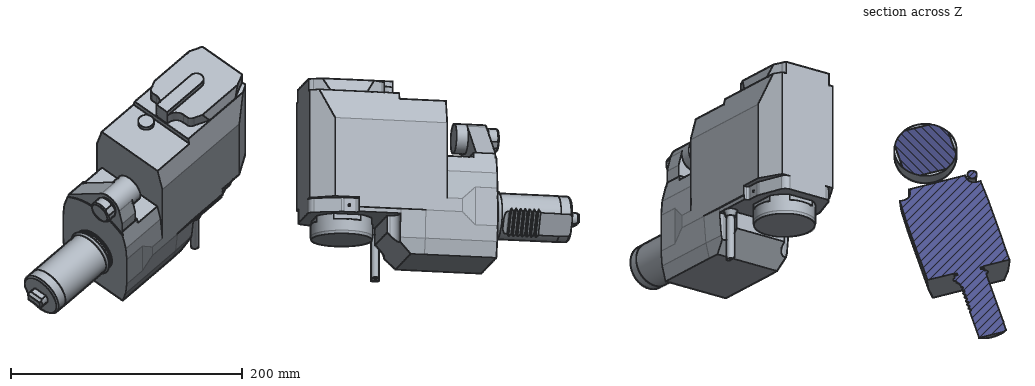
import cadquery as cq
import math


HEAD_HALF_WIDTH = 38.0
HEAD_FRONT_Y = 44.5
HEAD_BACK_Y = 163.5
HEAD_BOTTOM_Z = -9.7
HEAD_SHOULDER_Z = 72.0
HEAD_TOP_Z = 97.8
HEAD_LEAN = math.tan(math.radians(15))
STEP_TOP_Z = 92.5
STEP_Y = 85.5
BACK_HALF_WIDTH = 26.9
BACK_CHAMFER_Y = 143.5
SPINDLE_Y = 129.7

RIM_TOP_Z = 2.7
RIM_HALF_WIDTH = 33.2
RIM_FRONT_Y = 122.0
RIM_FLAT_END_Y = 136.0
RIM_CORNER_X = 23.7
RIM_ROUND = 6.3
RIM_FOOT_RADIUS = 2.2
RIM_HOLE_DIAMETER = 1.7
RIM_HOLE_DEPTH = 2.5
RIM_HOLE_Z = -3.6

BASE_TOP_Z = 44.0
BASE_MIDDLE_Z = 30.2
BASE_WAIST_Z = 5.8
BASE_TOP_HALF_WIDTH = 32.2
BASE_MIDDLE_HALF_WIDTH = 35.8
FLANGE_HALF_WIDTH = 37.0
FLANGE_BACK_Y = 19.8
FLANGE_TOP_Z = 48.2
FLANGE_TOP_HALF_WIDTH = BASE_TOP_HALF_WIDTH - (FLANGE_TOP_Z - BASE_TOP_Z) * (
    (BASE_MIDDLE_HALF_WIDTH - BASE_TOP_HALF_WIDTH) / (BASE_TOP_Z - BASE_MIDDLE_Z)
)
FLANGE_BLEND_Y = 31.5
FACE_PLATE_THICKNESS = 0.7
FACE_ARC_TOP_Z = 55.2
BASE_TAPER_Y = 63.6
BASE_TAPER = 0.7
TAIL_Y = 94.9
TAIL_HALF_WIDTH = 25.5
TAIL_FILLET = 7.3
TAIL_CUT_SIZE = 19.4

LUG_BACK_Y = 17.7
LOCATOR_X = 14.8
LOCATOR_Z = 70.2
BOSS_DIAMETER = 26.0
BOSS_BACK_Y = 27.8
PIN_DIAMETER = 20.0
PIN_LENGTH = 10.5
PIN_CHAMFER = 1.2
PIN_ACROSS_FLATS = 19.0
PIN_FLAT_ANGLE = 36
LUG_KNEE_X = 31.0
LUG_KNEE_Z = 59.3

SHANK_DIAMETER = 40.0
SHANK_LENGTH = 70.0
SHANK_TIP_DIAMETER = 39.7
SHANK_TIP_LENGTH = 10.2
SHANK_CHAMFER = 1.5
NECK_GROOVE_DIAMETER = 36.0
NECK_GROOVE_START = 0.5
NECK_GROOVE_WIDTH = 1.7
SEAL_DIAMETER = 43.0
SEAL_START = 4.4
SEAL_WIDTH = 3.5
RACK_FLAT_DISTANCE = 17.2
RACK_ANGLE = 30
RACK_FLAT_START = 13.0
RACK_RUNOUT_RADIUS = 4.0
TOOTH_COUNT = 7
TOOTH_ROW_LENGTH = 24.0
TOOTH_PITCH = TOOTH_ROW_LENGTH / (TOOTH_COUNT - 1)
TOOTH_DEPTH = 1.7
FIRST_TOOTH = 16.0
TANG_LENGTH = 8.5
TANG_WIDTH = 17.0
TANG_THICKNESS = 9.7
TANG_SIDE_BULGE = 2.2
TANG_END_CHAMFER = 1.7
TANG_BEVEL_LENGTH = 3.1

COVER_TOP_Z = 108.5
COVER_INSET = 0.2
COVER_END_HALF_WIDTH = 23.0
COVER_BACK_ROUND_MIDDLE = (24.0, 32.2)
COVER_SHOULDER_X = 24.7
COVER_SHOULDER_DY = 30.0
COVER_SIDE_SLOPE = 2.2
COVER_FRONT_DY = 33.5
COVER_SCOOP_RADIUS = 9.5
COVER_FRONT_END_X = 20.8
COVER_FRONT_ROUND_MIDDLE = (23.2, -32.2)
KEY_WIDTH = 12.5
KEY_FRONT_Y = 86.0
KEY_BACK_Y = 136.5
KEY_TOP_Z = 113.5
BUTTON_DIAMETER = 13.8
BUTTON_HEIGHT = 3.6
BUTTON_X = -10.2
BUTTON_Y = 77.0

PIPE_DIAMETER = 7.0
PIPE_X = 31.2
PIPE_Y = 93.7
PIPE_BOTTOM_Z = -55.0
PIPE_TIP_CUT = 3.0
PIPE_OUTLET_DIAMETER = 2.1
PIPE_OUTLET_DEPTH = 2.5
PIPE_SOCKET_TOP_DIAMETER = 12.0
PIPE_SOCKET_BOTTOM_DIAMETER = 8.2
PIPE_SOCKET_HEIGHT = 5.3

NUT_DIAMETER = 54.0
NUT_BOTTOM_Z = -27.3
NUT_CHAMFER_WIDTH = 0.7
NUT_CHAMFER_HEIGHT = 3.0
NUT_ACROSS_FLATS = 48.5
NUT_FLATS_HEIGHT = 4.8

BIG = 242.0


def box(x_range, y_range, z_range):
    """Axis-aligned box between the given limits."""
    size = [high - low for low, high in (x_range, y_range, z_range)]
    corner = cq.Vector(x_range[0], y_range[0], z_range[0])
    return cq.Workplane(cq.Solid.makeBox(*size, pnt=corner))


def along_y(sketch, y_start, y_end):
    """Extrude an XZ sketch from y_start to y_end."""
    return sketch.extrude(y_start - y_end).translate((0, y_start, 0))


def mirrored(right_half):
    """Close a list of right-hand outline points with their left-hand mirror images."""
    return right_half + [(-x, v) for x, v in reversed(right_half)]


def prism_y(points, y_start, y_end):
    return along_y(cq.Workplane("XZ").polyline(points).close(), y_start, y_end)


def prism_z(points, z_start, z_end):
    sketch = cq.Workplane("XY").workplane(offset=z_start).polyline(points).close()
    return sketch.extrude(z_end - z_start)


def rod_y(diameter, y_start, y_end, x=0.0, z=0.0):
    return along_y(cq.Workplane("XZ").center(x, z).circle(diameter / 2), y_start, y_end)


def rod_z(diameter, z_start, z_end, x=0.0, y=0.0):
    sketch = cq.Workplane("XY").workplane(offset=z_start).center(x, y)
    return sketch.circle(diameter / 2).extrude(z_end - z_start)


def leaning_half_width(z):
    """Half width between the leaning upper sides at height z."""
    return HEAD_HALF_WIDTH - (z - HEAD_SHOULDER_Z) * HEAD_LEAN


def make_head():
    """Block with leaning upper sides, a stepped top and a chamfered back."""
    section = mirrored([
        (HEAD_HALF_WIDTH, -BASE_WAIST_Z),
        (HEAD_HALF_WIDTH, HEAD_SHOULDER_Z),
        (leaning_half_width(HEAD_TOP_Z), HEAD_TOP_Z),
    ])
    plan = mirrored([
        (HEAD_HALF_WIDTH, HEAD_FRONT_Y),
        (HEAD_HALF_WIDTH, BACK_CHAMFER_Y),
        (BACK_HALF_WIDTH, HEAD_BACK_Y),
    ])
    head = prism_y(section, HEAD_FRONT_Y, HEAD_BACK_Y)
    head = head.intersect(prism_z(plan, -BIG, BIG))
    return head.cut(box((-BIG, BIG), (0, STEP_Y), (STEP_TOP_Z, BIG)))


def make_base():
    """Faceted lower block that joins the flange to the head and runs back to the tail."""
    upper = [
        (HEAD_HALF_WIDTH, BASE_WAIST_Z),
        (BASE_MIDDLE_HALF_WIDTH, BASE_MIDDLE_Z),
        (BASE_TOP_HALF_WIDTH, BASE_TOP_Z),
    ]
    lower = [(x, -z) for x, z in reversed(upper)]
    section = mirrored(lower + upper)
    rear_section = mirrored([(x - BASE_TAPER, z) for x, z in lower + upper])
    base = prism_y(section, 0, BASE_TAPER_Y)
    taper = (
        cq.Workplane("XZ", origin=(0, BASE_TAPER_Y, 0))
        .polyline(section)
        .close()
        .workplane(offset=BASE_TAPER_Y - STEP_Y)
        .polyline(rear_section)
        .close()
        .loft(ruled=True)
    )
    rear = prism_y(rear_section, STEP_Y, HEAD_BACK_Y)
    rear = rear.intersect(box((-BIG, BIG), (0, BIG), (HEAD_BOTTOM_Z, BIG)))
    base = base.union(taper).union(rear)

    flange_top = mirrored([
        (BASE_MIDDLE_HALF_WIDTH, BASE_MIDDLE_Z),
        (FLANGE_TOP_HALF_WIDTH, FLANGE_TOP_Z),
    ])
    base = base.union(prism_y(flange_top, FACE_PLATE_THICKNESS, FLANGE_BACK_Y))

    face_arc = (
        cq.Workplane("XZ")
        .moveTo(-BASE_TOP_HALF_WIDTH, BASE_TOP_Z)
        .threePointArc((0, FACE_ARC_TOP_Z), (BASE_TOP_HALF_WIDTH, BASE_TOP_Z))
        .close()
    )
    base = base.union(along_y(face_arc, 0, FACE_PLATE_THICKNESS))

    plan = mirrored([
        (FLANGE_HALF_WIDTH, 0),
        (FLANGE_HALF_WIDTH, FLANGE_BACK_Y),
        (HEAD_HALF_WIDTH, FLANGE_BLEND_Y),
        (HEAD_HALF_WIDTH, BACK_CHAMFER_Y),
        (BACK_HALF_WIDTH, HEAD_BACK_Y),
    ])
    return base.intersect(prism_z(plan, -BIG, BIG))


def make_tail():
    """Narrow rear end of the base, flared into it by concave fillets."""
    flare = TAIL_HALF_WIDTH + TAIL_FILLET
    centre_y = STEP_Y + TAIL_FILLET
    diagonal = TAIL_FILLET * math.sqrt(0.5)
    return (
        cq.Workplane("XY")
        .workplane(offset=-BASE_TOP_Z)
        .moveTo(-flare, STEP_Y)
        .lineTo(flare, STEP_Y)
        .threePointArc((flare - diagonal, centre_y - diagonal), (TAIL_HALF_WIDTH, centre_y))
        .lineTo(TAIL_HALF_WIDTH, TAIL_Y)
        .lineTo(-TAIL_HALF_WIDTH, TAIL_Y)
        .lineTo(-TAIL_HALF_WIDTH, centre_y)
        .threePointArc((diagonal - flare, centre_y - diagonal), (-flare, STEP_Y))
        .close()
        .extrude(BASE_TOP_Z + HEAD_BOTTOM_Z)
    )


def make_tail_cut():
    """45 degree wedge under the tail."""
    corners = [
        (TAIL_Y - TAIL_CUT_SIZE, -BASE_TOP_Z),
        (TAIL_Y, TAIL_CUT_SIZE - BASE_TOP_Z),
        (BIG, TAIL_CUT_SIZE - BASE_TOP_Z),
        (BIG, -BASE_TOP_Z),
    ]
    return cq.Workplane("YZ").polyline(corners).close().extrude(BIG, both=True)


def make_rim_cut():
    """Material outside the rounded rim, with a small hole in each side of the rim."""
    rim = prism_z(mirrored([
        (RIM_HALF_WIDTH, 0),
        (RIM_HALF_WIDTH, RIM_FLAT_END_Y),
        (RIM_CORNER_X, HEAD_BACK_Y),
    ]), -BIG, BIG)
    rim = rim.edges("|Z and (not <Y)").fillet(RIM_ROUND)
    cut = box((-BIG, BIG), (RIM_FRONT_Y, BIG), (-BIG, RIM_TOP_Z)).cut(rim)
    cut = cut.edges("|Z and <Y").fillet(RIM_FOOT_RADIUS)
    hole_reach = RIM_HALF_WIDTH - RIM_HOLE_DEPTH
    for side in (-1, 1):
        hole = cq.Workplane("YZ").center(SPINDLE_Y, RIM_HOLE_Z).circle(RIM_HOLE_DIAMETER / 2)
        hole = hole.extrude(side * (HEAD_HALF_WIDTH - hole_reach))
        cut = cut.union(hole.translate((side * hole_reach, 0, 0)))
    return cut


def make_lug():
    """Triangular lug with a round boss and a two-flat locating pin."""
    radius = BOSS_DIAMETER / 2

    def tangent_point(x, z, side):
        """Where the line from (x, z) touches the boss circle."""
        dx, dz = x - LOCATOR_X, z - LOCATOR_Z
        angle = math.atan2(dz, dx) + side * math.acos(radius / math.hypot(dx, dz))
        return LOCATOR_X + radius * math.cos(angle), LOCATOR_Z + radius * math.sin(angle)

    outline = [
        (-FLANGE_TOP_HALF_WIDTH, BASE_TOP_Z),
        (-FLANGE_TOP_HALF_WIDTH, FLANGE_TOP_Z),
        tangent_point(-FLANGE_TOP_HALF_WIDTH, FLANGE_TOP_Z, -1),
        tangent_point(LUG_KNEE_X, LUG_KNEE_Z, 1),
        (LUG_KNEE_X, LUG_KNEE_Z),
        (LUG_KNEE_X, BASE_TOP_Z),
    ]
    lug = prism_y(outline, FACE_PLATE_THICKNESS, LUG_BACK_Y)
    boss = rod_y(BOSS_DIAMETER, FACE_PLATE_THICKNESS, BOSS_BACK_Y, LOCATOR_X, LOCATOR_Z)

    pin = rod_y(PIN_DIAMETER, -PIN_LENGTH, 0).faces("<Y or >Y").chamfer(PIN_CHAMFER)
    half_flats = PIN_ACROSS_FLATS / 2
    flats = box((-half_flats, half_flats), (-BIG, BIG), (-BIG, BIG))
    pin = pin.intersect(flats.rotate((0, 0, 0), (0, 1, 0), -PIN_FLAT_ANGLE))
    stem = rod_y(PIN_DIAMETER - 2 * PIN_CHAMFER, -PIN_CHAMFER, FACE_PLATE_THICKNESS)
    pin = pin.union(stem).translate((LOCATOR_X, 0, LOCATOR_Z))
    return lug.union(boss).union(pin)


def make_rack_cut():
    """Slanted flat with a round runout and a row of V grooves across it."""
    outside_x = -SHANK_DIAMETER
    run = RACK_RUNOUT_RADIUS
    diagonal = run * math.sqrt(0.5)
    cut = (
        cq.Workplane("XY")
        .moveTo(-RACK_FLAT_DISTANCE, -BIG)
        .lineTo(-RACK_FLAT_DISTANCE, -RACK_FLAT_START)
        .threePointArc(
            (-RACK_FLAT_DISTANCE - run + diagonal, -RACK_FLAT_START + diagonal),
            (-RACK_FLAT_DISTANCE - run, -RACK_FLAT_START + run),
        )
        .lineTo(outside_x, -RACK_FLAT_START + run)
        .lineTo(outside_x, -BIG)
        .close()
        .extrude(BIG, both=True)
    )
    for index in range(TOOTH_COUNT):
        y = -FIRST_TOOTH - index * TOOTH_PITCH
        groove = [
            (TOOTH_DEPTH - RACK_FLAT_DISTANCE, y),
            (-RACK_FLAT_DISTANCE, y + TOOTH_DEPTH),
            (-RACK_FLAT_DISTANCE, y - TOOTH_DEPTH),
        ]
        cut = cut.union(cq.Workplane("XY").polyline(groove).close().extrude(BIG, both=True))
    return cut.rotate((0, 0, 0), (0, 1, 0), -RACK_ANGLE)


def make_shank():
    """Cylindrical shank with a neck groove, sealing ring, rack flat and driving tang."""
    tip_start = SHANK_TIP_LENGTH - SHANK_LENGTH
    shank = rod_y(SHANK_DIAMETER, tip_start, 0)
    tip = rod_y(SHANK_TIP_DIAMETER, -SHANK_LENGTH, tip_start)
    shank = shank.union(tip.faces("<Y").chamfer(SHANK_CHAMFER))

    groove_end = -NECK_GROOVE_START - NECK_GROOVE_WIDTH
    groove = rod_y(BIG, groove_end, -NECK_GROOVE_START)
    groove = groove.cut(rod_y(NECK_GROOVE_DIAMETER, groove_end, -NECK_GROOVE_START))
    shank = shank.cut(groove).cut(make_rack_cut())

    radius = SHANK_DIAMETER / 2
    seal_end = -SEAL_START - SEAL_WIDTH
    seal = (
        cq.Workplane("XY")
        .moveTo(0, -SEAL_START)
        .lineTo(radius, -SEAL_START)
        .threePointArc((SEAL_DIAMETER / 2, -SEAL_START - SEAL_WIDTH / 2), (radius, seal_end))
        .lineTo(0, seal_end)
        .close()
        .revolve(360, (0, 0), (0, 1))
    )
    shank = shank.union(seal)

    half_width, half_thickness = TANG_WIDTH / 2, TANG_THICKNESS / 2
    tang_end = -SHANK_LENGTH - TANG_LENGTH
    flat_half = half_width - TANG_SIDE_BULGE
    tang = (
        cq.Workplane("XZ")
        .moveTo(-flat_half, half_thickness)
        .lineTo(flat_half, half_thickness)
        .threePointArc((half_width, 0), (flat_half, -half_thickness))
        .lineTo(-flat_half, -half_thickness)
        .threePointArc((-half_width, 0), (-flat_half, half_thickness))
        .close()
    )
    tang = along_y(tang, tang_end, -SHANK_LENGTH)
    tang = tang.faces("<Y").edges("|X").chamfer(TANG_BEVEL_LENGTH, TANG_END_CHAMFER)
    cone_end = rod_y(TANG_WIDTH, tang_end, -SHANK_LENGTH).faces("<Y").chamfer(TANG_END_CHAMFER)
    tang = tang.intersect(cone_end)
    return shank.union(tang)


def make_cover():
    """Cover plate with leaning sides, scooped out at the front on both sides of the key."""
    key_half = KEY_WIDTH / 2
    reach = HEAD_HALF_WIDTH
    reach_dy = COVER_SHOULDER_DY - (reach - COVER_SHOULDER_X) * COVER_SIDE_SLOPE
    scoop_x = key_half + COVER_SCOOP_RADIUS
    diagonal = COVER_SCOOP_RADIUS * math.sqrt(0.5)
    scoop_centre_dy = -COVER_FRONT_DY - COVER_SCOOP_RADIUS
    right_half = (
        cq.Workplane("XY")
        .workplane(offset=HEAD_TOP_Z)
        .moveTo(0, scoop_centre_dy)
        .lineTo(key_half, scoop_centre_dy)
        .threePointArc(
            (scoop_x - diagonal, scoop_centre_dy + diagonal),
            (scoop_x, -COVER_FRONT_DY),
        )
        .lineTo(COVER_FRONT_END_X, -COVER_FRONT_DY)
        .threePointArc(COVER_FRONT_ROUND_MIDDLE, (COVER_SHOULDER_X, -COVER_SHOULDER_DY))
        .lineTo(reach, -reach_dy)
        .lineTo(reach, reach_dy)
        .lineTo(COVER_SHOULDER_X, COVER_SHOULDER_DY)
        .threePointArc(COVER_BACK_ROUND_MIDDLE, (COVER_END_HALF_WIDTH, HEAD_BACK_Y - SPINDLE_Y))
        .lineTo(0, HEAD_BACK_Y - SPINDLE_Y)
        .close()
        .extrude(COVER_TOP_Z - HEAD_TOP_Z)
        .translate((0, SPINDLE_Y, 0))
    )
    leaning = prism_y(mirrored([
        (leaning_half_width(HEAD_TOP_Z) - COVER_INSET, HEAD_TOP_Z),
        (leaning_half_width(COVER_TOP_Z) - COVER_INSET, COVER_TOP_Z),
    ]), 0, BIG)
    return right_half.union(right_half.mirror("YZ")).intersect(leaning)


def make_key():
    """Long key with a rounded back end."""
    radius = KEY_WIDTH / 2
    straight_end = KEY_BACK_Y - radius
    key = box((-radius, radius), (KEY_FRONT_Y, straight_end), (HEAD_TOP_Z, KEY_TOP_Z))
    return key.union(rod_z(KEY_WIDTH, HEAD_TOP_Z, KEY_TOP_Z, 0, straight_end))


def make_pipe():
    """Coolant pipe in a tapered socket, with an outlet in its slanted tip."""
    pipe = rod_z(PIPE_DIAMETER, PIPE_BOTTOM_Z, HEAD_BOTTOM_Z)
    left = -PIPE_DIAMETER / 2
    wedge = [
        (left, PIPE_BOTTOM_Z),
        (left, PIPE_BOTTOM_Z + PIPE_TIP_CUT),
        (left + PIPE_TIP_CUT, PIPE_BOTTOM_Z),
    ]
    pipe = pipe.cut(prism_y(wedge, left, -left))
    outlet = cq.Solid.makeCylinder(
        PIPE_OUTLET_DIAMETER / 2,
        PIPE_OUTLET_DEPTH,
        cq.Vector(left + PIPE_TIP_CUT / 2, 0, PIPE_BOTTOM_Z + PIPE_TIP_CUT / 2),
        cq.Vector(1, 0, 1),
    )
    socket = cq.Solid.makeCone(
        PIPE_SOCKET_TOP_DIAMETER / 2,
        PIPE_SOCKET_BOTTOM_DIAMETER / 2,
        PIPE_SOCKET_HEIGHT,
        cq.Vector(0, 0, HEAD_BOTTOM_Z),
        cq.Vector(0, 0, -1),
    )
    pipe = pipe.cut(cq.Workplane(outlet)).union(cq.Workplane(socket))
    return pipe.translate((PIPE_X, PIPE_Y, 0))


def make_housing():
    housing = make_head().union(make_base()).union(make_tail())
    housing = housing.cut(make_tail_cut()).cut(make_rim_cut())
    housing = housing.union(make_lug()).union(make_shank())
    housing = housing.union(make_cover()).union(make_key())
    button_top = STEP_TOP_Z + BUTTON_HEIGHT
    housing = housing.union(rod_z(BUTTON_DIAMETER, STEP_TOP_Z, button_top, BUTTON_X, BUTTON_Y))
    return housing.union(make_pipe())


def make_collet_nut():
    """Collet nut under the head, with four wrench flats around its top."""
    nut = rod_z(NUT_DIAMETER, NUT_BOTTOM_Z, HEAD_BOTTOM_Z)
    nut = nut.edges("<Z").chamfer(NUT_CHAMFER_HEIGHT, NUT_CHAMFER_WIDTH)
    half = NUT_ACROSS_FLATS / 2
    flats_z = (HEAD_BOTTOM_Z - NUT_FLATS_HEIGHT, HEAD_BOTTOM_Z)
    outside = box((-BIG, BIG), (-BIG, BIG), flats_z).cut(box((-half, half), (-half, half), flats_z))
    return nut.cut(outside).translate((0, SPINDLE_Y, 0))


housing = make_housing()
collet_nut = make_collet_nut()
result = cq.Compound.makeCompound([housing.val(), collet_nut.val()])